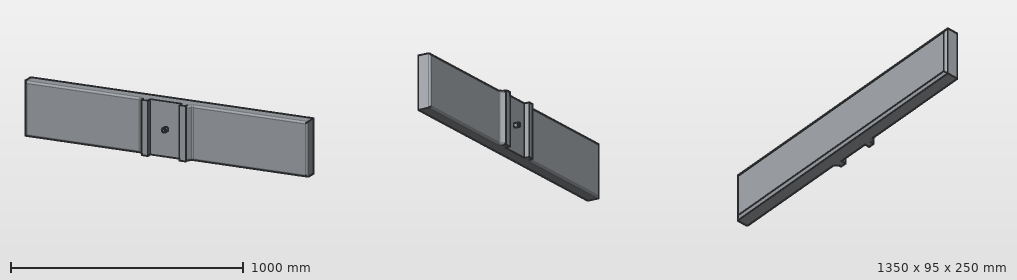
import cadquery as cq

length = 1350.0
height = 250.0
depth = 95.0

board_depth = 70.0
back_chamfer_depth = 10.0
back_chamfer_inset = 16.0
front_radius = 10.0

rail_outer_x = 105.0
rail_width = 30.0
ramp_run = 20.0

peg_diameter = 22.0
peg_tip_chamfer = 4.0

half_length = length / 2
channel_width = 2 * (rail_outer_x - rail_width)


def make_left_wing():
    """Board left of the rail, with its ramp and rounded front edges."""
    ramp_start_x = -rail_outer_x - ramp_run
    wing = (
        cq.Workplane("XY")
        .moveTo(-half_length, 0)
        .lineTo(-half_length, -board_depth)
        .lineTo(ramp_start_x, -board_depth)
        .lineTo(-rail_outer_x, -board_depth - ramp_run)
        .lineTo(-rail_outer_x, 0)
        .close()
        .extrude(height / 2, both=True)
    )
    ramp_corner = cq.selectors.NearestToPointSelector((ramp_start_x, -board_depth, 0))
    wing = wing.edges(ramp_corner).fillet(front_radius)
    end_edge = wing.faces("<X").edges("<Y")
    long_edges = wing.faces("<Z or >Z").edges("(not <X) and (not >X) and (not >Y)")
    return end_edge.add(long_edges).fillet(front_radius)


def make_center():
    """Board section between the wings, carrying the two rails."""
    block = cq.Workplane("XY").box(2 * rail_outer_x, depth, height, centered=(True, False, True))
    block = block.translate((0, -depth, 0))
    channel = cq.Workplane("XY").box(channel_width, depth - board_depth, height, centered=(True, False, True))
    return block.cut(channel.translate((0, -depth, 0)))


def make_peg():
    """Round peg with a chamfered tip, flush with the rail fronts."""
    return (
        cq.Workplane("XZ", origin=(0, -board_depth, 0))
        .circle(peg_diameter / 2)
        .extrude(depth - board_depth)
        .faces("<Y")
        .chamfer(peg_tip_chamfer)
    )


def make_back_envelope():
    """Full-size block whose back face has sloping borders on all four sides."""
    straight = cq.Workplane("XZ", origin=(0, -back_chamfer_depth, 0)).rect(length, height)
    straight = straight.extrude(depth - back_chamfer_depth)
    border = (
        cq.Workplane("XZ", origin=(0, -back_chamfer_depth, 0))
        .rect(length, height)
        .workplane(offset=-back_chamfer_depth)
        .rect(length - 2 * back_chamfer_inset, height - 2 * back_chamfer_inset)
        .loft(ruled=True)
    )
    return straight.union(border)


left_wing = make_left_wing()
body = make_center().union(left_wing).union(left_wing.mirror("YZ"))
body = body.intersect(make_back_envelope())
result = body.union(make_peg())